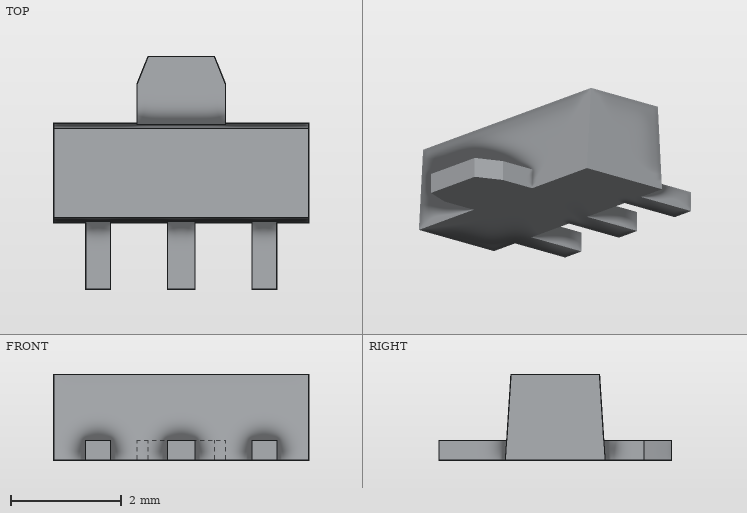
import cadquery as cq

body_length = 4.6
body_height = 1.55
body_base_width = 1.8
body_top_width = 1.6
overall_width = 4.2

metal_thickness = 0.36
lead_pitch = 1.5
outer_lead_width = 0.45
centre_lead_width = 0.5
tab_width = 1.6
tab_tip_width = 1.2
tab_taper_length = 0.5

tip_y = overall_width / 2


def make_body():
    """Moulded body: a trapezoid in YZ extruded along X."""
    half_base = body_base_width / 2
    half_top = body_top_width / 2
    return (
        cq.Workplane("YZ")
        .polyline([
            (-half_base, 0),
            (half_base, 0),
            (half_top, body_height),
            (-half_top, body_height),
        ])
        .close()
        .extrude(body_length / 2, both=True)
    )


def make_lead(centre_x, width):
    """Straight lead from the middle of the body out to the -Y tip."""
    return (
        cq.Workplane("XY")
        .center(centre_x, -tip_y / 2)
        .rect(width, tip_y)
        .extrude(metal_thickness)
    )


def make_tab():
    """Heat-sink tab on the +Y side, narrowing towards its tip."""
    half_width = tab_width / 2
    half_tip = tab_tip_width / 2
    taper_start_y = tip_y - tab_taper_length
    return (
        cq.Workplane("XY")
        .polyline([
            (-half_width, 0),
            (half_width, 0),
            (half_width, taper_start_y),
            (half_tip, tip_y),
            (-half_tip, tip_y),
            (-half_width, taper_start_y),
        ])
        .close()
        .extrude(metal_thickness)
    )


leads = [
    (-lead_pitch, outer_lead_width),
    (0, centre_lead_width),
    (lead_pitch, outer_lead_width),
]

result = make_body().union(make_tab())
for lead_x, lead_width in leads:
    result = result.union(make_lead(lead_x, lead_width))